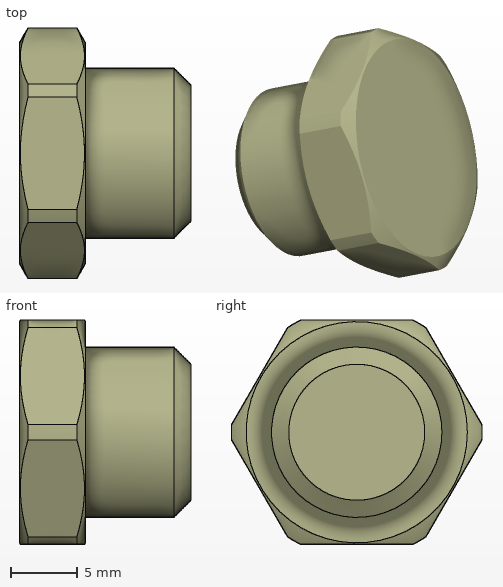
import cadquery as cq
import math

side_count = 6
across_flats = 17.0
corner_diameter = 19.0
head_length = 5.0
face_diameter = 16.75
head_chamfer_angle = 30.0

shank_diameter = 12.9
shank_length = 8.0
shank_chamfer = 1.3


def make_head():
    """Hexagon along X, flats facing +Z and -Z, with turned corners on both ends."""
    hexagon_diameter = across_flats / math.cos(math.pi / side_count)
    prism = cq.Workplane("YZ").polygon(side_count, hexagon_diameter).extrude(head_length)

    corner_radius = corner_diameter / 2
    face_radius = face_diameter / 2
    chamfer_depth = (corner_radius - face_radius) * math.tan(math.radians(head_chamfer_angle))
    turned_blank = (
        cq.Workplane("XY")
        .moveTo(0, 0)
        .lineTo(0, face_radius)
        .lineTo(chamfer_depth, corner_radius)
        .lineTo(head_length - chamfer_depth, corner_radius)
        .lineTo(head_length, face_radius)
        .lineTo(head_length, 0)
        .close()
        .revolve(360, (0, 0, 0), (1, 0, 0))
    )
    return prism.intersect(turned_blank)


def make_shank():
    """Plain cylinder behind the head with a 45 degree chamfer on its free end."""
    return (
        cq.Workplane("YZ")
        .workplane(offset=head_length)
        .circle(shank_diameter / 2)
        .extrude(shank_length)
        .faces(">X")
        .chamfer(shank_chamfer)
    )


result = make_head().union(make_shank())